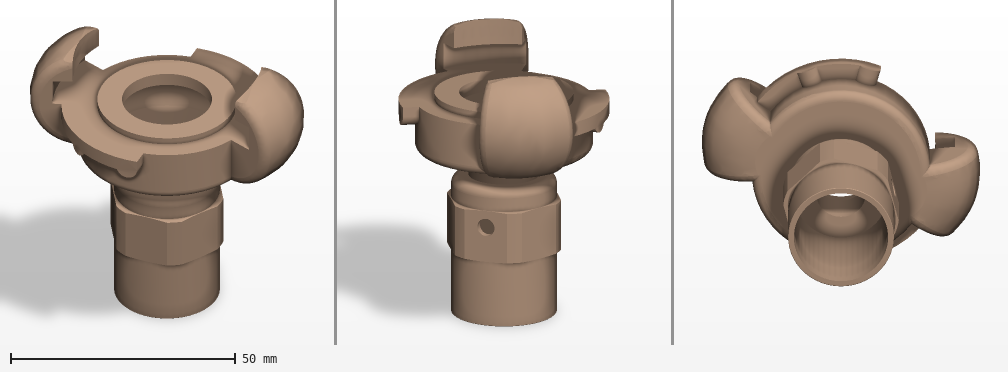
import cadquery as cq
import math

disc_top = 49.55
disc_diameter = 39.7
seal_lip_diameter = 31.0
seal_lip_height = 1.6
outer_fillet = 2.0

claw_reach = 31.5
claw_profile_radius = 11.9
claw_back_radius = 19.2
claw_tip_crown_radius = 27.7
claw_half_angle = 21.5
claw_start = 12.6
claw_inner_diameter = 42.05
claw_slot_diameter = 51.0
claw_slot_height = 6.0

lobe_diameter = 47.0
lobe_thickness = 3.2
knob_radius = 2.5
knob_drop = 1.5
knob_angles = (0.0, 35.0)

neck_diameter = 15.85
neck_fillet = 1.0
sleeve_diameter = 23.55
sleeve_length = 32.0
sleeve_end_chamfer = 0.1

hex_across_flats = 24.0
hex_corner_diameter = 26.0
hex_bottom = 15.0
hex_top = 26.9
hex_corner_chamfer = 0.2
hex_turn = 30.0

mouth_diameter = 20.0
mouth_depth = 2.95
chamber_diameter = 35.0
chamber_floor = 39.7
floor_cone_diameter = 28.5
passage_diameter = 11.0
funnel_bottom = 36.85
sleeve_bore_diameter = 21.0
sleeve_bore_depth = hex_top
vent_diameter = 4.0
vent_height = 23.05
vent_angle = 150.0

disc_bottom = disc_top - claw_profile_radius
lip_top = disc_top + seal_lip_height
claw_axis_x = claw_reach - claw_back_radius
claw_tip_bottom = disc_top + claw_slot_height
claw_clear_top = disc_top + 2 * claw_profile_radius
lobe_radius = lobe_diameter / 2
chamber_fillet = (chamber_diameter - floor_cone_diameter) / 2


def cylinder(diameter, bottom, top):
    """Cylinder on the Z axis between two heights."""
    return cq.Workplane("XY").workplane(offset=bottom).circle(diameter / 2).extrude(top - bottom)


def both_sides(solid):
    """The solid together with its copy turned half a revolution about Z."""
    return solid.union(solid.rotate((0, 0, 0), (0, 0, 1), 180))


def head():
    disc = cylinder(disc_diameter, disc_bottom, disc_top).faces("<Z").edges().fillet(outer_fillet)
    return disc.union(cylinder(seal_lip_diameter, disc_top, lip_top))


def neck():
    """Neck that flares into the underside of the disc with a fillet."""
    radius = neck_diameter / 2
    flare_start = disc_bottom - neck_fillet
    bulge = neck_fillet * (1 - math.sqrt(0.5))
    return (
        cq.Workplane("XZ")
        .moveTo(0, sleeve_length - outer_fillet)
        .lineTo(radius, sleeve_length - outer_fillet)
        .lineTo(radius, flare_start)
        .threePointArc((radius + bulge, disc_bottom - bulge), (radius + neck_fillet, disc_bottom))
        .lineTo(radius + neck_fillet, disc_bottom + neck_fillet)
        .lineTo(0, disc_bottom + neck_fillet)
        .close()
        .revolve(360, (0, 0, 0), (0, 1, 0))
    )


def sleeve():
    tube = cylinder(sleeve_diameter, 0, sleeve_length)
    tube = tube.faces(">Z").edges().fillet(outer_fillet)
    return tube.faces("<Z").edges().chamfer(sleeve_end_chamfer)


def hexagon():
    """Hexagon with flats facing +Y and -Y, its corners turned down."""
    height = hex_top - hex_bottom
    prism = (
        cq.Workplane("XY")
        .workplane(offset=hex_bottom)
        .polygon(6, hex_across_flats, circumscribed=True)
        .extrude(height)
        .rotate((0, 0, 0), (0, 0, 1), hex_turn)
    )
    chamfer_width = (hex_corner_diameter - hex_across_flats) / 2
    blank = cylinder(hex_corner_diameter, hex_bottom, hex_top)
    blank = blank.faces(">Z or <Z").chamfer(hex_corner_chamfer, chamfer_width)
    return prism.intersect(blank)


def claw_tip_crown():
    """Bar along X whose arched top trims the claw tip, level with the claw back at mid-width."""
    tip_offset = claw_inner_diameter / 2 - (claw_reach - claw_profile_radius)
    tip_top = disc_top + math.sqrt(claw_profile_radius**2 - tip_offset**2)
    return (
        cq.Workplane("YZ")
        .center(0, tip_top - claw_tip_crown_radius)
        .circle(claw_tip_crown_radius)
        .extrude(claw_reach)
    )


def claw():
    """Claw on +X: a turned back cut to a wedge, its flanks rounded, hooked over a slot."""
    flare = math.tan(math.radians(claw_half_angle))
    half_width = claw_reach * flare
    rim_radius = claw_back_radius - claw_profile_radius
    back = (
        cq.Workplane("XZ")
        .moveTo(0, -claw_profile_radius)
        .lineTo(rim_radius, -claw_profile_radius)
        .threePointArc((claw_back_radius, 0), (rim_radius, claw_profile_radius))
        .lineTo(0, claw_profile_radius)
        .close()
        .revolve(360, (0, 0, 0), (0, 1, 0))
        .translate((claw_axis_x, 0, disc_top))
    )
    start_half_width = claw_start * flare
    wedge = (
        cq.Workplane("XY")
        .workplane(offset=disc_bottom)
        .polyline([
            (claw_start, -start_half_width),
            (claw_reach, -half_width),
            (claw_reach, half_width),
            (claw_start, start_half_width),
        ])
        .close()
        .extrude(2 * claw_profile_radius)
    )
    lug = back.intersect(wedge)
    lug = lug.edges(">Y or <Y").fillet(outer_fillet)
    slot = cylinder(claw_slot_diameter, disc_top, claw_tip_bottom)
    opening = cylinder(claw_inner_diameter, disc_top, claw_clear_top)
    return lug.cut(slot).cut(opening).intersect(claw_tip_crown())


def cam_lobe():
    """Lobe on the -Y side, from the -X claw to just past the Y axis, with two knobs below it."""
    lobe_bottom = disc_top - lobe_thickness
    knob_axis = lobe_bottom - knob_drop + knob_radius
    sector = (
        cq.Workplane("XY")
        .workplane(offset=lobe_bottom)
        .rect(-lobe_radius, -lobe_radius, centered=False)
        .extrude(lobe_thickness)
    )
    end = (
        cq.Workplane("XY")
        .workplane(offset=knob_axis)
        .rect(knob_radius, -lobe_radius, centered=False)
        .extrude(disc_top - knob_axis)
    )
    lobe = sector.union(end)
    for angle in knob_angles:
        knob = cq.Workplane("XZ").center(0, knob_axis).circle(knob_radius).extrude(lobe_radius)
        lobe = lobe.union(knob.rotate((0, 0, 0), (0, 0, 1), -angle))
    return lobe.intersect(cylinder(lobe_diameter, disc_bottom, disc_top))


def inner_chamber():
    """Mouth, wide chamber with a rounded floor corner, shallow funnel and passage to the sleeve bore."""
    mouth = cylinder(mouth_diameter, chamber_floor, lip_top)
    chamber = cylinder(chamber_diameter, chamber_floor, lip_top - mouth_depth)
    chamber = chamber.faces("<Z").edges().fillet(chamber_fillet)
    funnel = (
        cq.Workplane("XZ")
        .polyline([
            (0, chamber_floor),
            (floor_cone_diameter / 2, chamber_floor),
            (passage_diameter / 2, funnel_bottom),
            (0, funnel_bottom),
        ])
        .close()
        .revolve(360, (0, 0, 0), (0, 1, 0))
    )
    return mouth.union(chamber).union(funnel).union(cylinder(passage_diameter, sleeve_bore_depth, funnel_bottom))


def vent():
    """Radial hole from one hexagon flat into the sleeve bore."""
    hole = (
        cq.Workplane("YZ")
        .center(0, vent_height)
        .circle(vent_diameter / 2)
        .extrude(hex_corner_diameter / 2)
    )
    return hole.rotate((0, 0, 0), (0, 0, 1), vent_angle)


body = sleeve().union(hexagon()).union(neck()).union(head())
body = body.union(both_sides(claw())).union(both_sides(cam_lobe()))
sleeve_bore = cylinder(sleeve_bore_diameter, 0, sleeve_bore_depth)
result = body.cut(inner_chamber()).cut(sleeve_bore).cut(vent())